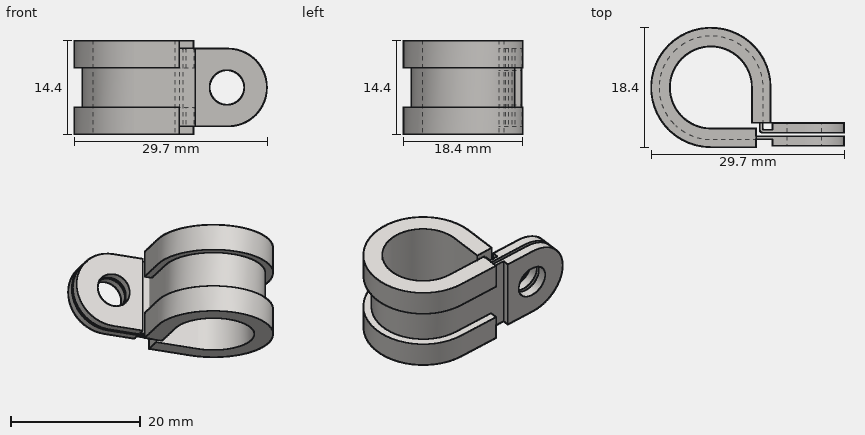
import cadquery as cq

cushion_outer_radius = 9.2
cushion_inner_radius = 6.3
cushion_height = 14.4
rear_leg_length = 5.45
front_leg_length = 6.95

band_thickness = 0.5
band_outer_radius = 8.0
band_inner_radius = band_outer_radius - band_thickness
band_height = 12.0
groove_height = 6.05
bend_inner_radius = 0.15
bend_outer_radius = 0.5

tab_gap = 0.5
tab_thickness = 1.5
tab_start_x = 9.47
tab_end_x = 29.7 - cushion_outer_radius
tab_radius = band_height / 2
tab_center_x = tab_end_x - tab_radius
hole_center_x = 14.32
hole_diameter = 5.3

front_tab_inner_y = -band_inner_radius
rear_tab_inner_y = front_tab_inner_y + tab_gap


def loop(outer_radius, inner_radius, rear_length, front_length, height):
    """Three-quarter ring, centred on Z = 0, with straight legs at both ends."""
    diagonal = 0.5 ** 0.5
    outer_mid = (-outer_radius * diagonal, outer_radius * diagonal)
    inner_mid = (-inner_radius * diagonal, inner_radius * diagonal)
    return (
        cq.Workplane("XY")
        .moveTo(outer_radius, -rear_length)
        .lineTo(outer_radius, 0)
        .threePointArc(outer_mid, (0, -outer_radius))
        .lineTo(front_length, -outer_radius)
        .lineTo(front_length, -inner_radius)
        .lineTo(0, -inner_radius)
        .threePointArc(inner_mid, (inner_radius, 0))
        .lineTo(inner_radius, -rear_length)
        .close()
        .extrude(height / 2, both=True)
    )


def box_between(x_min, x_max, y_min, y_max, height):
    """Box centred on Z = 0."""
    return (
        cq.Workplane("XY")
        .center((x_min + x_max) / 2, (y_min + y_max) / 2)
        .rect(x_max - x_min, y_max - y_min)
        .extrude(height / 2, both=True)
    )


def make_cushion():
    body = loop(cushion_outer_radius, cushion_inner_radius,
                rear_leg_length, front_leg_length, cushion_height)
    groove = loop(cushion_outer_radius, band_outer_radius,
                  rear_leg_length, front_leg_length, groove_height)
    return body.cut(groove)


def make_band():
    band = loop(band_outer_radius, band_inner_radius,
                -rear_tab_inner_y, tab_start_x, band_height)
    foot = box_between(band_inner_radius, tab_start_x,
                       rear_tab_inner_y, rear_tab_inner_y + band_thickness, band_height)
    inside_corner = (band_outer_radius, rear_tab_inner_y + band_thickness, 0)
    outside_corner = (band_inner_radius, rear_tab_inner_y, 0)
    band = band.union(foot)
    band = band.edges(cq.NearestToPointSelector(inside_corner)).fillet(bend_inner_radius)
    return band.edges(cq.NearestToPointSelector(outside_corner)).fillet(bend_outer_radius)


def make_tab(y_min):
    """Round-ended plate with a bolt hole, occupying one thickness above y_min."""
    plane = cq.Workplane("XZ", origin=(0, y_min, 0))
    plate = (
        plane.moveTo(tab_start_x, -tab_radius)
        .lineTo(tab_center_x, -tab_radius)
        .threePointArc((tab_end_x, 0), (tab_center_x, tab_radius))
        .lineTo(tab_start_x, tab_radius)
        .close()
        .extrude(-tab_thickness)
    )
    hole = plane.center(hole_center_x, 0).circle(hole_diameter / 2).extrude(-tab_thickness)
    return plate.cut(hole)


front_tab = make_tab(front_tab_inner_y - tab_thickness)
rear_tab = make_tab(rear_tab_inner_y)
result = make_cushion().union(make_band()).union(front_tab).union(rear_tab)